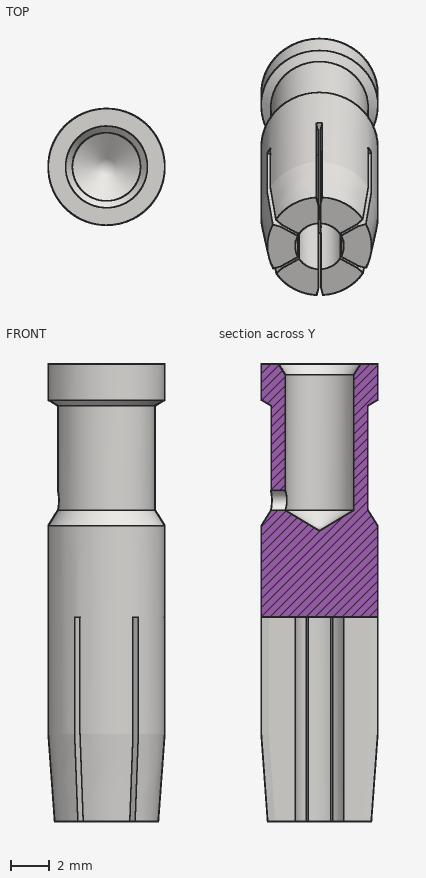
import cadquery as cq
import math

total_length = 23.5
body_radius = 3.0
neck_radius = 2.5
tip_radius = 2.67
tip_taper_height = 4.5
body_top = 15.2
shoulder_top = 16.0
collar_underside_bottom = 21.35
collar_underside_top = 21.65

wire_bore_radius = 1.75
wire_bore_floor = 16.0
wire_bore_chamfer_radius = 2.1
wire_bore_chamfer_depth = 0.55
drill_point_angle = 118.0

inspection_diameter = 1.0
inspection_height = 16.5

contact_bore_radius = 1.25
contact_bore_depth = 10.5

slit_count = 6
slit_height = 10.5
slit_width = 0.12
mouth_width = 0.32
mouth_depth = 0.4
slit_overrun = 0.1


def make_outer_body():
    return (
        cq.Workplane("XZ")
        .moveTo(0, 0)
        .lineTo(tip_radius, 0)
        .lineTo(body_radius, tip_taper_height)
        .lineTo(body_radius, body_top)
        .lineTo(neck_radius, shoulder_top)
        .lineTo(neck_radius, collar_underside_bottom)
        .lineTo(body_radius, collar_underside_top)
        .lineTo(body_radius, total_length)
        .lineTo(0, total_length)
        .close()
        .revolve(360, (0, 0, 0), (0, 1, 0))
    )


def make_wire_bore():
    cone_height = wire_bore_radius / math.tan(math.radians(drill_point_angle / 2))
    return (
        cq.Workplane("XZ")
        .moveTo(0, wire_bore_floor - cone_height)
        .lineTo(wire_bore_radius, wire_bore_floor)
        .lineTo(wire_bore_radius, total_length - wire_bore_chamfer_depth)
        .lineTo(wire_bore_chamfer_radius, total_length)
        .lineTo(0, total_length)
        .close()
        .revolve(360, (0, 0, 0), (0, 1, 0))
    )


def make_inspection_hole():
    return (
        cq.Workplane("YZ")
        .center(0, inspection_height)
        .circle(inspection_diameter / 2)
        .extrude(-body_radius)
    )


def make_contact_bore():
    return cq.Workplane("XY").circle(contact_bore_radius).extrude(contact_bore_depth)


def mouth_section(outer_radius):
    """Flared section on +X, mouth_width wide at outer_radius and extended a little beyond it."""
    throat_half = slit_width / 2
    slope = (mouth_width - slit_width) / 2 / mouth_depth
    outer_half = mouth_width / 2 + slope * slit_overrun
    throat_x = outer_radius - mouth_depth
    outer_x = outer_radius + slit_overrun
    return [
        (throat_x, -throat_half),
        (outer_x, -outer_half),
        (outer_x, outer_half),
        (throat_x, throat_half),
    ]


def make_slit():
    """Slit on +X from the axis outward; its flared mouth follows the taper of the tip."""
    straight_height = slit_height - tip_taper_height
    slit_length = body_radius + slit_overrun
    slit = cq.Workplane("XY").box(slit_length, slit_width, slit_height, centered=(False, True, False))
    tapered_mouth = (
        cq.Workplane("XY")
        .polyline(mouth_section(tip_radius))
        .close()
        .workplane(offset=tip_taper_height)
        .polyline(mouth_section(body_radius))
        .close()
        .loft(ruled=True)
    )
    straight_mouth = (
        cq.Workplane("XY", origin=(0, 0, tip_taper_height))
        .polyline(mouth_section(body_radius))
        .close()
        .extrude(straight_height)
    )
    return slit.union(tapered_mouth).union(straight_mouth)


result = make_outer_body()
result = result.cut(make_wire_bore())
result = result.cut(make_inspection_hole())
result = result.cut(make_contact_bore())

slit = make_slit()
for index in range(slit_count):
    angle = index * 360 / slit_count
    result = result.cut(slit.rotate((0, 0, 0), (0, 0, 1), angle))